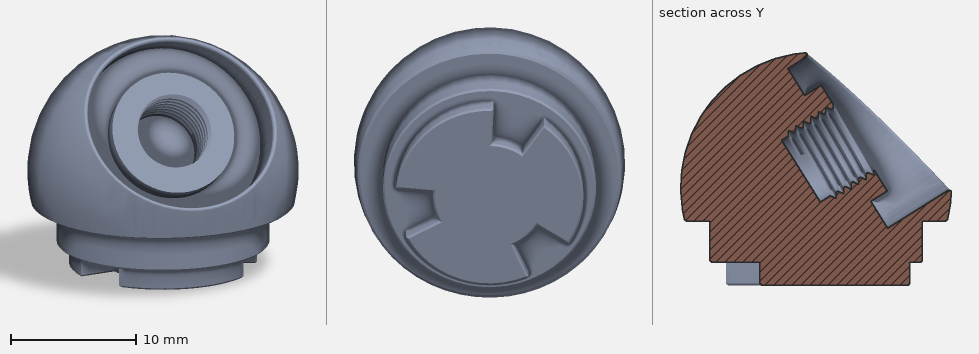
import math

import cadquery as cq

ball_radius = 10.825
ball_bottom_z = -2.71
ball_edge_chamfer = 0.15

collar_diameter = 17.0
collar_height = 3.25
collar_chamfer = 0.15
foot_diameter = 15.0
foot_height = 1.84
foot_chamfer = 0.15
collar_bottom_z = ball_bottom_z - collar_height
foot_bottom_z = collar_bottom_z - foot_height

notch_root_diameter = 9.0
notch_angle = 33.0
notch_directions = (-60.0, 60.0, 180.0)

socket_tilt = 58.0
socket_offset = 1.75
socket_diameter = 15.0
socket_floor = 3.15
socket_rim_fillet = 0.2

boss_diameter = 10.0
boss_height = 1.55
thread_minor_diameter = 5.79
thread_pitch = 25.4 / 36
thread_depth = 0.4
thread_crest_width = 0.2
thread_start_angle = 110.0
thread_overlap = 0.1
hole_depth = 5.0
boss_face = socket_floor + boss_height
hole_bottom = boss_face - hole_depth

clearance = 1.0

tilt = math.radians(socket_tilt)
out_of_mouth = cq.Vector(math.sin(tilt), 0, math.cos(tilt))
down_tilt = cq.Vector(math.cos(tilt), 0, -math.sin(tilt))
socket_plane = cq.Plane(origin=down_tilt * -socket_offset, xDir=down_tilt, normal=out_of_mouth)


def cylinder(diameter, bottom, height):
    """Upright cylinder on the Z axis."""
    return cq.Workplane("XY").workplane(offset=bottom).circle(diameter / 2).extrude(height)


def make_ball():
    """Sphere cut flat below, with a small chamfer at the flat."""
    flat = cylinder(2 * ball_radius + clearance, ball_bottom_z, 2 * ball_radius)
    sphere = cq.Workplane("XY").sphere(ball_radius)
    sphere = sphere.rotate((0, 0, 0), (1, 0, 0), 90).rotate((0, 0, 0), (0, 1, 0), 90)
    return sphere.intersect(flat).faces("<Z").edges().chamfer(ball_edge_chamfer)


def make_socket():
    """Socket volume, standing in the socket frame."""
    return cylinder(socket_diameter, socket_floor, ball_radius + clearance)


def make_notch(direction):
    """Wedge-shaped cutter with radial walls and a round root."""
    reach = foot_diameter / 2 + clearance
    half_width = reach * math.tan(math.radians(notch_angle / 2))
    wedge = (
        cq.Workplane("XY")
        .workplane(offset=foot_bottom_z)
        .polyline([(0, 0), (reach, -half_width), (reach, half_width)])
        .close()
        .extrude(foot_height)
    )
    root = cylinder(notch_root_diameter, foot_bottom_z, foot_height)
    return wedge.cut(root).rotate((0, 0, 0), (0, 0, 1), direction)


def make_foot():
    """Foot disc with its notches, chamfered along the bottom."""
    foot = cylinder(foot_diameter, foot_bottom_z, foot_height)
    for direction in notch_directions:
        foot = foot.cut(make_notch(direction))
    return foot.faces("<Z").edges().chamfer(foot_chamfer)


def make_collar():
    """Collar disc between the ball and the foot."""
    collar = cylinder(collar_diameter, collar_bottom_z, collar_height)
    return collar.faces("<Z").edges().chamfer(collar_chamfer)


def make_boss():
    """Boss on the socket floor, standing in the socket frame."""
    return cylinder(boss_diameter, socket_floor, boss_height)


def make_thread_groove():
    """Helical V groove that runs from the hole bottom out through the boss face."""
    half_opening = (thread_pitch - thread_crest_width) / 2
    flank_run = half_opening / thread_depth
    inner_half = half_opening + thread_overlap * flank_run
    minor_radius = thread_minor_diameter / 2
    start = hole_bottom + thread_pitch
    height = boss_face - start + thread_pitch
    helix = cq.Wire.makeHelix(thread_pitch, height, minor_radius)
    profile = (
        cq.Workplane("XZ")
        .polyline(
            [
                (minor_radius - thread_overlap, -inner_half),
                (minor_radius + thread_depth, 0),
                (minor_radius - thread_overlap, inner_half),
            ]
        )
        .close()
    )
    groove = profile.sweep(cq.Workplane(obj=helix), isFrenet=True)
    return groove.translate((0, 0, start))


def in_socket_frame(body):
    """Move a body from the socket frame to its place in the part."""
    return cq.Workplane(obj=body.val().moved(cq.Location(socket_plane)))


groove = make_thread_groove().rotate((0, 0, 0), (0, 0, 1), thread_start_angle)
hole = cylinder(thread_minor_diameter, hole_bottom, hole_depth)
hole = hole.rotate((0, 0, 0), (0, 0, 1), thread_start_angle)

body = make_ball().union(make_collar()).union(make_foot())
body = body.cut(in_socket_frame(make_socket()))

mouth_distance = math.sqrt(ball_radius**2 - socket_offset**2)
mouth_center = socket_plane.toWorldCoords((0, 0, mouth_distance))
mouth_edge = body.edges(cq.selectors.NearestToPointSelector(mouth_center.toTuple()))
body = mouth_edge.fillet(socket_rim_fillet)

result = (
    body
    .union(in_socket_frame(make_boss()))
    .cut(in_socket_frame(groove))
    .cut(in_socket_frame(hole))
)